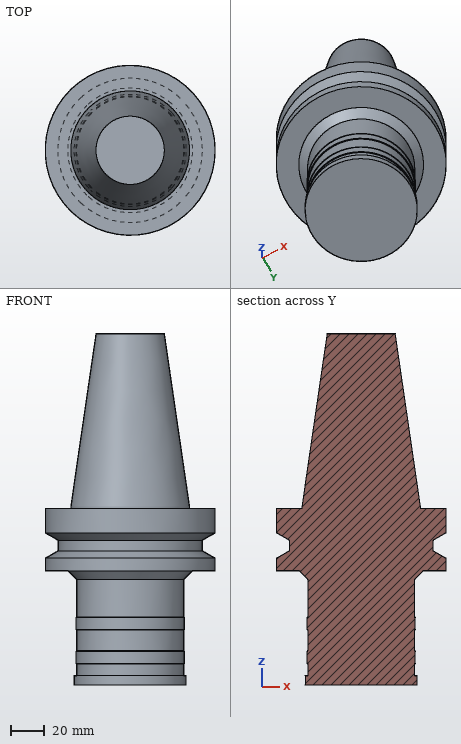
import cadquery as cq

total_height = 206.8

taper_large_diameter = 70.0
taper_length = 101.7
taper_ratio = 7 / 24
taper_small_diameter = taper_large_diameter - taper_length * taper_ratio
taper_base_z = total_height - taper_length

flange_diameter = 100.0
flange_bottom_z = 67.2
flange_top_z = 104.0
groove_diameter = 85.0
groove_floor_bottom_z = 79.0
groove_floor_top_z = 85.2
groove_flank_height = 4.3

shank_diameter = 63.0
neck_height = 5.2
neck_top_diameter = shank_diameter + 2 * neck_height

band_diameter = 64.0
band_height = 7.9
band_bottom_zs = (12.5, 32.3)
band_chamfer = (band_diameter - shank_diameter) / 2
collar_diameter = 66.0
collar_height = 5.5


def disc(diameter, bottom_z, top_z):
    """Cylinder on the Z axis between two heights."""
    return cq.Workplane("XY").workplane(offset=bottom_z).circle(diameter / 2).extrude(top_z - bottom_z)


def revolve_profile(points):
    """Solid of revolution about Z from (radius, height) points."""
    return cq.Workplane("XZ").polyline(points).close().revolve(360, (0, 0), (0, 1))


def cone(bottom_diameter, top_diameter, bottom_z, top_z):
    """Truncated cone on the Z axis between two heights."""
    return revolve_profile([
        (0, bottom_z),
        (bottom_diameter / 2, bottom_z),
        (top_diameter / 2, top_z),
        (0, top_z),
    ])


def grooved_flange():
    flange_radius = flange_diameter / 2
    groove_radius = groove_diameter / 2
    return revolve_profile([
        (0, flange_bottom_z),
        (flange_radius, flange_bottom_z),
        (flange_radius, groove_floor_bottom_z - groove_flank_height),
        (groove_radius, groove_floor_bottom_z),
        (groove_radius, groove_floor_top_z),
        (flange_radius, groove_floor_top_z + groove_flank_height),
        (flange_radius, flange_top_z),
        (0, flange_top_z),
    ])


def band(bottom_z):
    """Raised band with both edges chamfered down to the shank."""
    return disc(band_diameter, bottom_z, bottom_z + band_height).edges().chamfer(band_chamfer)


result = disc(shank_diameter, 0, flange_bottom_z)
result = result.union(disc(collar_diameter, 0, collar_height))
for band_z in band_bottom_zs:
    result = result.union(band(band_z))
result = result.union(cone(shank_diameter, neck_top_diameter, flange_bottom_z - neck_height, flange_bottom_z))
result = result.union(grooved_flange())
result = result.union(disc(taper_large_diameter, flange_top_z, taper_base_z))
result = result.union(cone(taper_large_diameter, taper_small_diameter, taper_base_z, total_height))